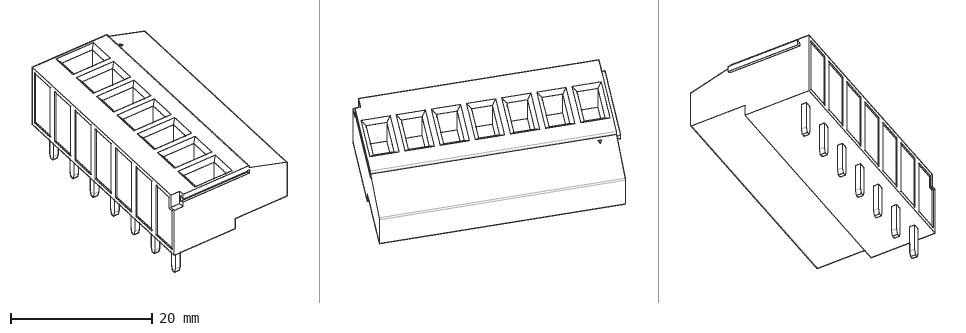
import cadquery as cq

total_length = 36.15
total_depth = 19.5
housing_height = 10.5
pin_length = 5.42
pole_count = 7

rail_reach = 0.58
rail_tip_height = 0.95
rail_root_height = 0.5
rail_drop = 1.15

body_length = total_length - rail_reach
pole_pitch = body_length / pole_count
body_left = -total_length / 2 + rail_reach
body_right = total_length / 2
pole_centers = [body_left + (i + 0.5) * pole_pitch for i in range(pole_count)]

plate_thickness = 1.52
step_y = 10.52
step_height = 1.85
lip_y = 12.98
lip_drop = 0.4
lip_radius = 0.25
slope_drop = 2.42
back_edge_radius = 0.25

window_length = 4.23
window_depth_y = 6.45
window_front_y = 3.85
window_chamfer = 0.6
window_depth = 5.2

panel_width = 3.98
panel_margin = 0.7
panel_recess = 0.2

notch_width = 0.83
notch_height = 2.25
notch_rim = 0.47

pin_width = 1.0
pin_thickness = 0.83
pin_center_y = 2.02
pin_tip_width = 0.5
pin_taper = 0.83

mark_size = 0.5
mark_offset = 0.47
mark_height = 0.07


def box(x0, x1, y0, y1, z0, z1):
    """Axis-aligned block between two opposite corners."""
    return cq.Workplane("XY").box(x1 - x0, y1 - y0, z1 - z0, centered=False).translate((x0, y0, z0))


lip_foot = (lip_y, housing_height - lip_drop)
slope_foot = (total_depth, housing_height - slope_drop)


def make_housing():
    """Extrude the side profile along X and round its back edges and the lip."""
    profile = [
        (0, 0),
        (step_y, 0),
        (step_y, step_height),
        (total_depth, step_height),
        slope_foot,
        lip_foot,
        (lip_y, housing_height),
        (0, housing_height),
    ]
    housing = cq.Workplane("YZ", origin=(body_left, 0, 0)).polyline(profile).close().extrude(body_length)
    housing = housing.faces(">Y").edges("|X").fillet(back_edge_radius)
    lip_top = cq.selectors.NearestToPointSelector((0, lip_y, housing_height))
    return housing.edges("|X").edges(lip_top).fillet(lip_radius)


def make_dovetail(root_x):
    """Dovetail bar reaching from root_x towards -X, widening outwards."""
    tip_x = root_x - rail_reach
    center_z = housing_height - rail_drop
    outline = [
        (root_x, center_z - rail_root_height / 2),
        (root_x, center_z + rail_root_height / 2),
        (tip_x, center_z + rail_tip_height / 2),
        (tip_x, center_z - rail_tip_height / 2),
    ]
    bar = cq.Workplane("XZ", origin=(0, plate_thickness, 0)).polyline(outline).close()
    return bar.extrude(plate_thickness - lip_y)


def make_window(center_x):
    """Screw window: straight well below a chamfered mouth."""
    mouth = cq.Workplane("XY", origin=(center_x, window_front_y + window_depth_y / 2, housing_height))
    well_length = window_length - 2 * window_chamfer
    well_depth_y = window_depth_y - 2 * window_chamfer
    well = mouth.rect(well_length, well_depth_y).extrude(-window_depth)
    funnel = (
        mouth.rect(window_length, window_depth_y)
        .workplane(offset=-window_chamfer)
        .rect(well_length, well_depth_y)
        .loft(combine=True)
    )
    return well.union(funnel)


def make_panel(center_x):
    """Shallow rectangular recess in the front face."""
    return box(
        center_x - panel_width / 2,
        center_x + panel_width / 2,
        0,
        panel_recess,
        panel_margin,
        housing_height - panel_margin,
    )


def make_notch(rim):
    """Top right corner of the front plate, enlarged by a rim."""
    return box(
        body_right - notch_width - rim,
        body_right,
        0,
        plate_thickness,
        housing_height - notch_height - rim,
        housing_height,
    )


def make_pin(center_x):
    """Flat pin whose sides taper to a narrow tip."""
    half = pin_width / 2
    half_tip = pin_tip_width / 2
    outline = [
        (center_x - half, 0),
        (center_x + half, 0),
        (center_x + half, pin_taper - pin_length),
        (center_x + half_tip, -pin_length),
        (center_x - half_tip, -pin_length),
        (center_x - half, pin_taper - pin_length),
    ]
    pin = cq.Workplane("XZ", origin=(0, pin_center_y, 0)).polyline(outline).close()
    return pin.extrude(pin_thickness / 2, both=True)


def make_mark(center_x):
    """Triangular plate standing slightly proud of the sloping top."""
    slope_run = slope_foot[0] - lip_foot[0]
    slope_rise = slope_foot[1] - lip_foot[1]
    slope_plane = cq.Plane(
        origin=(center_x, *lip_foot),
        xDir=(1, 0, 0),
        normal=(0, -slope_rise, slope_run),
    )
    outline = [
        (-mark_size / 2, mark_offset),
        (mark_size / 2, mark_offset),
        (0, mark_offset + mark_size),
    ]
    return cq.Workplane(slope_plane).polyline(outline).close().extrude(mark_height)


result = make_housing()
result = result.union(make_dovetail(body_left)).cut(make_dovetail(body_right))

for pole_x in pole_centers:
    result = result.cut(make_window(pole_x))
    result = result.cut(make_panel(pole_x).cut(make_notch(notch_rim)))
    result = result.union(make_pin(pole_x))

result = result.cut(make_notch(0))
result = result.union(make_mark(pole_centers[0]))